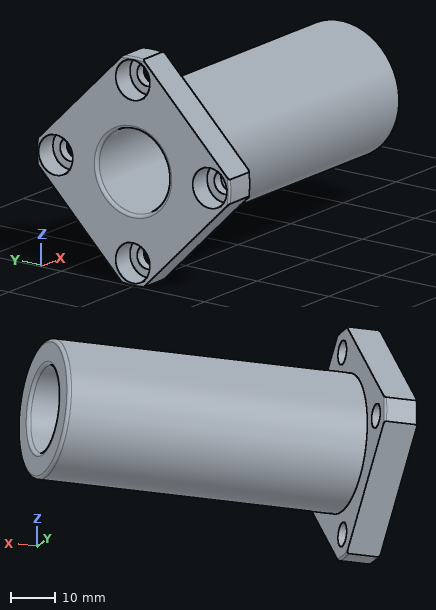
import cadquery as cq

overall_length = 80.0
sleeve_diameter = 32.0
bore_diameter = 20.0
sleeve_end_radius = 0.8
bore_edge_radius = 0.8

flange_thickness = 8.0
flange_diameter = 54.0
flange_square = 42.0
flange_edge_radius = 0.5

bolt_circle_diameter = 43.0
bolt_count = 4
bolt_hole_diameter = 5.5
counterbore_diameter = 9.5
counterbore_depth = 5.4


def make_flange():
    """Disc with rounded rims, trimmed to a square standing on its corner."""
    disc = cq.Workplane("YZ").circle(flange_diameter / 2).extrude(flange_thickness)
    disc = disc.edges().fillet(flange_edge_radius)
    square = (
        cq.Workplane("YZ")
        .rect(flange_square, flange_square)
        .extrude(flange_thickness)
        .rotate((0, 0, 0), (1, 0, 0), 45)
    )
    return disc.intersect(square)


def make_sleeve():
    """Round sleeve with a rounded free end."""
    sleeve = cq.Workplane("YZ").circle(sleeve_diameter / 2).extrude(overall_length)
    return sleeve.faces(">X").edges().fillet(sleeve_end_radius)


def make_bolt_holes():
    """Counterbored holes near the flange corners, sunk from the X = 0 face."""
    centers = cq.Workplane("YZ").polarArray(bolt_circle_diameter / 2, 0, 360, bolt_count)
    holes = centers.circle(bolt_hole_diameter / 2).extrude(flange_thickness)
    counterbores = centers.circle(counterbore_diameter / 2).extrude(counterbore_depth)
    return holes.union(counterbores)


def cut_bore(body):
    """Cut the through bore and round its edge at both ends."""
    bore = cq.Workplane("YZ").circle(bore_diameter / 2).extrude(overall_length)
    mouths = cq.selectors.RadiusNthSelector(0)
    bored = body.cut(bore)
    return bored.faces("<X or >X").edges(mouths).fillet(bore_edge_radius)


body = make_flange().union(make_sleeve())
result = cut_bore(body).cut(make_bolt_holes())